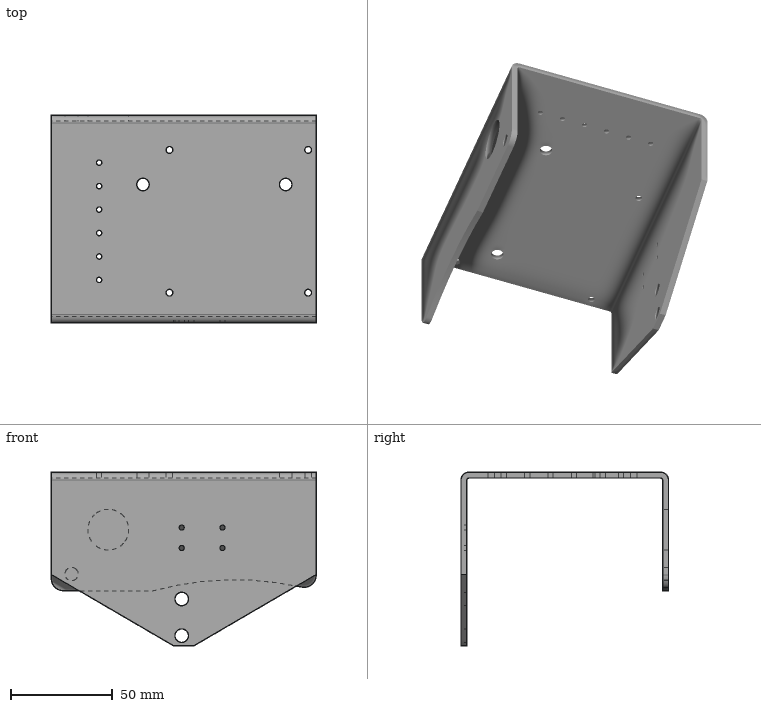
import cadquery as cq
import math

LENGTH_X = 130.0
WIDTH_Y = 101.89
THICKNESS = 3.0
INNER_BEND_RADIUS = 1.0
OUTER_BEND_RADIUS = INNER_BEND_RADIUS + THICKNESS

LEFT = -LENGTH_X / 2
RIGHT = LENGTH_X / 2
FRONT = -WIDTH_Y / 2
REAR = WIDTH_Y / 2

FRONT_DEPTH = 85.25
FRONT_TAPER_DEPTH = 35.0
FRONT_SIDE_DEPTH = FRONT_DEPTH - FRONT_TAPER_DEPTH
FRONT_FLAT_WIDTH = 10.0

FRONT_HOLE_X = LEFT + 64.0
PIVOT_DIAMETER = 6.5
PIVOT_PITCH = 18.0
LOWER_PIVOT_Z = -FRONT_DEPTH + 5.0
FRONT_SCREW_DIAMETER = 2.5
FRONT_SCREW_PITCH_X = 20.0
FRONT_SCREW_PITCH_Z = 10.0
FRONT_SCREW_TOP_Z = -27.25

REAR_DEPTH = 58.25
REAR_CORNER_RADIUS = 6.0
ARCH_START_X = LEFT + 50.0
ARCH_RADIUS = 150.0
REAR_WINDOW_DIAMETER = 20.0
REAR_WINDOW_X = LEFT + 28.0
REAR_WINDOW_Z = -REAR_DEPTH + 30.0
REAR_FOOT_HOLE_DIAMETER = 6.5
REAR_FOOT_HOLE_X = LEFT + 10.0
REAR_FOOT_HOLE_Z = -REAR_DEPTH + 8.25

BOARD_HOLE_DIAMETER = 3.2
BOARD_PITCH_X = 68.0
BOARD_PITCH_Y = 70.0
BOARD_FIRST_X = LEFT + 58.0
BOARD_FIRST_Y = FRONT + 14.8
BOARD_CENTRE_Y = BOARD_FIRST_Y + BOARD_PITCH_Y / 2

CABLE_HOLE_DIAMETER = 6.0
CABLE_PITCH_X = 70.0
CABLE_FIRST_X = LEFT + 45.0
CABLE_Y = FRONT + 67.85

ROW_HOLE_DIAMETER = 2.5
ROW_COUNT = 6
ROW_PITCH = 11.5
ROW_X = LEFT + 23.5
ROW_FIRST_Y = BOARD_CENTRE_Y - (ROW_COUNT - 1) * ROW_PITCH / 2


def bent_sheet():
    """U-shaped channel, open at the bottom, with both walls full depth."""
    outer = (
        cq.Workplane("XY")
        .box(LENGTH_X, WIDTH_Y, FRONT_DEPTH, centered=(True, True, False))
        .translate((0, 0, -FRONT_DEPTH))
        .edges("|X and >Z")
        .fillet(OUTER_BEND_RADIUS)
    )
    inner = (
        cq.Workplane("XY")
        .box(LENGTH_X, WIDTH_Y - 2 * THICKNESS, FRONT_DEPTH, centered=(True, True, False))
        .translate((0, 0, -FRONT_DEPTH - THICKNESS))
        .edges("|X and >Z")
        .fillet(INNER_BEND_RADIUS)
    )
    return outer.cut(inner)


def front_outline():
    """Front wall outline, extruded over the front half of the channel."""
    half_flat = FRONT_FLAT_WIDTH / 2
    return (
        cq.Workplane("XZ")
        .moveTo(LEFT, 0)
        .lineTo(LEFT, -FRONT_SIDE_DEPTH)
        .lineTo(-half_flat, -FRONT_DEPTH)
        .lineTo(half_flat, -FRONT_DEPTH)
        .lineTo(RIGHT, -FRONT_SIDE_DEPTH)
        .lineTo(RIGHT, 0)
        .close()
        .extrude(-FRONT)
    )


def corner_selector(corner_x):
    """Select the edge along Y at one lower corner of the rear wall."""
    reach = THICKNESS / 2
    return cq.selectors.BoxSelector(
        (corner_x - reach, 0, -REAR_DEPTH - reach),
        (corner_x + reach, REAR, -REAR_DEPTH + reach),
    )


def rear_outline():
    """Rear wall outline, extruded over the rear half of the channel."""
    half_span = (RIGHT - ARCH_START_X) / 2
    arch_rise = ARCH_RADIUS - math.sqrt(ARCH_RADIUS**2 - half_span**2)
    arch_top = (ARCH_START_X + half_span, -REAR_DEPTH + arch_rise)
    plate = (
        cq.Workplane("XZ")
        .moveTo(LEFT, 0)
        .lineTo(LEFT, -REAR_DEPTH)
        .lineTo(ARCH_START_X, -REAR_DEPTH)
        .threePointArc(arch_top, (RIGHT, -REAR_DEPTH))
        .lineTo(RIGHT, 0)
        .close()
        .extrude(-REAR)
    )
    lower_corners = corner_selector(LEFT) + corner_selector(RIGHT)
    return plate.edges("|Y").edges(lower_corners).fillet(REAR_CORNER_RADIUS)


DRILL_LENGTH = 2 * THICKNESS


def top_holes(points, diameter):
    """Vertical drills through the top plate."""
    return (
        cq.Workplane("XY")
        .pushPoints(points)
        .circle(diameter / 2)
        .extrude(-DRILL_LENGTH)
    )


def wall_holes(points, diameter, outer_y, inward):
    """Drills along Y through one wall; inward is +1 from the front, -1 from the rear."""
    return (
        cq.Workplane("XZ", origin=(0, outer_y, 0))
        .pushPoints(points)
        .circle(diameter / 2)
        .extrude(-inward * DRILL_LENGTH)
    )


board_holes = [
    (BOARD_FIRST_X + i * BOARD_PITCH_X, BOARD_FIRST_Y + j * BOARD_PITCH_Y)
    for i in range(2)
    for j in range(2)
]
cable_holes = [(CABLE_FIRST_X + i * CABLE_PITCH_X, CABLE_Y) for i in range(2)]
row_holes = [(ROW_X, ROW_FIRST_Y + i * ROW_PITCH) for i in range(ROW_COUNT)]
pivot_holes = [(FRONT_HOLE_X, LOWER_PIVOT_Z + i * PIVOT_PITCH) for i in range(2)]
front_screws = [
    (FRONT_HOLE_X + i * FRONT_SCREW_PITCH_X, FRONT_SCREW_TOP_Z - j * FRONT_SCREW_PITCH_Z)
    for i in range(2)
    for j in range(2)
]

drills = [
    top_holes(board_holes, BOARD_HOLE_DIAMETER),
    top_holes(cable_holes, CABLE_HOLE_DIAMETER),
    top_holes(row_holes, ROW_HOLE_DIAMETER),
    wall_holes(pivot_holes, PIVOT_DIAMETER, FRONT, 1),
    wall_holes(front_screws, FRONT_SCREW_DIAMETER, FRONT, 1),
    wall_holes([(REAR_WINDOW_X, REAR_WINDOW_Z)], REAR_WINDOW_DIAMETER, REAR, -1),
    wall_holes([(REAR_FOOT_HOLE_X, REAR_FOOT_HOLE_Z)], REAR_FOOT_HOLE_DIAMETER, REAR, -1),
]

result = bent_sheet().intersect(front_outline().union(rear_outline()))
for drill in drills:
    result = result.cut(drill)